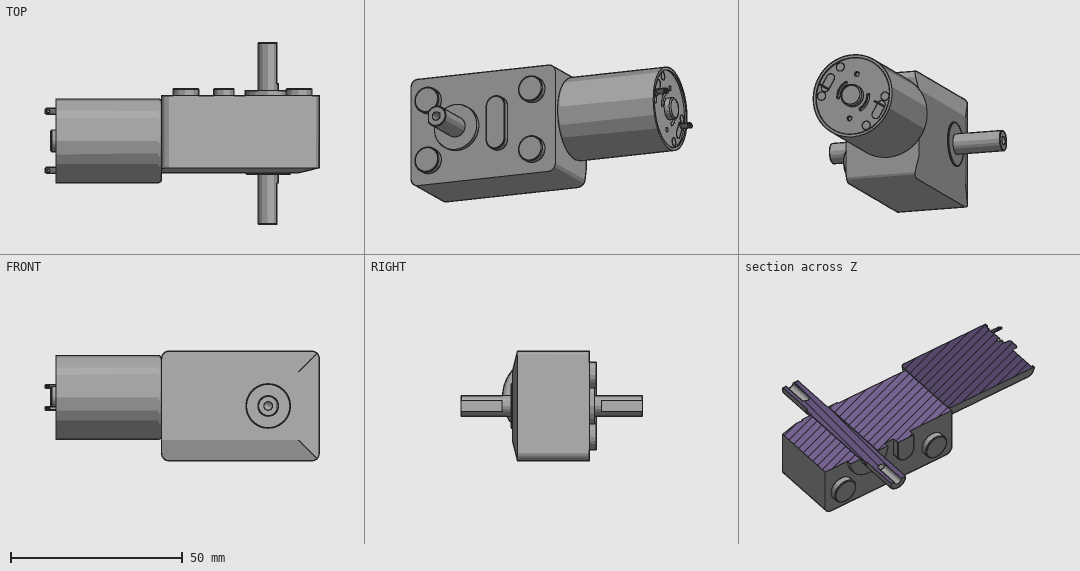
import cadquery as cq
import math


case_length = 46.0
case_height = 32.0
case_corner_radius = 2.2
case_end_x = 14.9
case_start_x = case_end_x - case_length
case_back_y = 11.0
case_front_y = -11.5
bevel_width = 6.0
bevel_depth = 1.5
bevel_start_y = case_front_y + bevel_depth

back_collar_radius = 6.75
back_collar_height = 1.5
front_collar_radius = 6.5
front_collar_height = 0.4
front_collar_chamfer = 0.2
pad_height = 2.1
pad_chamfer = 0.25
round_pad_diameter = 7.6
round_pad_pitch_z = 18.0
round_pad_near_x = 9.0
round_pad_pitch_x = 33.0
long_pad_x = -12.9
long_pad_width = 6.0
long_pad_length = 16.0

shaft_length = 53.0
shaft_diameter = 6.0
shaft_chamfer = 0.2
flat_length = 12.0
flat_distance = 2.5
centre_hole_diameter = 2.5
centre_hole_depth = 8.0
drill_tip_angle = 118.0

motor_y = -2.15
motor_z = 2.5
motor_diameter = 24.5
motor_length = 30.8
motor_end_fillet = 1.0
motor_rear_x = case_start_x - motor_length
end_plate_diameter = 22.8
end_plate_recess = 0.5
end_plate_x = motor_rear_x + end_plate_recess

knob_radius = 3.2
knob_protrusion = 1.5
knob_chamfer = 0.4
crimp_diameter = 2.5
crimp_orbit = 9.85
crimp_angles = (4.4, 66.0)
mark_depth = 0.1
window_orbit = 9.1
window_angle = 30.3
window_length = 5.7
window_width = 2.5
vent_diameter = 1.4
vent_orbit = 6.6
vent_angle = 100.0
opening_depth = 1.0
arc_slot_radius = 4.65
arc_slot_width = 0.95
arc_slot_start = 1.0
arc_slot_end = 60.0

terminal_protrusion = 3.1
terminal_width = 1.95
terminal_thickness = 0.3
terminal_tip_chamfer = 0.4
terminal_hole_diameter = 0.9
terminal_hole_setback = 0.9
terminal_y = 8.6
terminal_z = 3.2
terminal_tilt = 30.0


def y_plane(y):
    """Plane at the given Y whose local axes are X and Z and whose normal is -Y."""
    return cq.Workplane(cq.Plane(origin=(0, y, 0), xDir=(1, 0, 0), normal=(0, -1, 0)))


def motor_plane(x):
    """Plane on the motor axis whose local axes are Y and Z and whose normal is +X."""
    return cq.Workplane(cq.Plane(origin=(x, motor_y, motor_z), xDir=(0, 1, 0), normal=(1, 0, 0)))


def polar(radius, angle):
    """Point at a radius and an angle in degrees."""
    return radius * math.cos(math.radians(angle)), radius * math.sin(math.radians(angle))


def case_block(back_y, front_y):
    """Rounded rectangular block of the case outline between two Y positions."""
    case_centre_x = (case_start_x + case_end_x) / 2
    return (
        y_plane(back_y).center(case_centre_x, 0).rect(case_length, case_height)
        .extrude(back_y - front_y)
        .edges("|Y").fillet(case_corner_radius)
    )


def bevel_envelope():
    """Block with its top, bottom and +X sides sloping in towards the front face."""
    half_height = case_height / 2
    slope_x = cq.Workplane("XY").polyline([
        (case_start_x, case_back_y),
        (case_end_x, case_back_y),
        (case_end_x, bevel_start_y),
        (case_end_x - bevel_width, case_front_y),
        (case_start_x, case_front_y),
    ]).close().extrude(half_height, both=True)
    slope_z = cq.Workplane("YZ").workplane(offset=case_start_x).polyline([
        (case_back_y, -half_height),
        (bevel_start_y, -half_height),
        (case_front_y, bevel_width - half_height),
        (case_front_y, half_height - bevel_width),
        (bevel_start_y, half_height),
        (case_back_y, half_height),
    ]).close().extrude(case_length)
    return slope_x.intersect(slope_z)


def shaft_cylinder():
    """Full-length round cylinder, used as shaft stock and to bore the gearbox."""
    return y_plane(shaft_length / 2).circle(shaft_diameter / 2).extrude(shaft_length)


def make_gearbox():
    """Case with bevelled front, collars and mounting pads, bored for the shaft."""
    case = case_block(case_back_y, case_front_y).intersect(bevel_envelope())
    front_collar = (
        y_plane(case_front_y).circle(front_collar_radius).extrude(front_collar_height)
        .faces("<Y").edges().chamfer(front_collar_chamfer)
    )
    back_collar = y_plane(case_back_y).circle(back_collar_radius).extrude(-back_collar_height)
    round_pad_xs = (round_pad_near_x, round_pad_near_x - round_pad_pitch_x)
    round_pads = (
        y_plane(case_back_y)
        .pushPoints([(x, side * round_pad_pitch_z / 2) for x in round_pad_xs for side in (-1, 1)])
        .circle(round_pad_diameter / 2).extrude(-pad_height)
        .faces(">Y").edges().chamfer(pad_chamfer)
    )
    long_pad = (
        y_plane(case_back_y).center(long_pad_x, 0).slot2D(long_pad_length, long_pad_width, 90)
        .extrude(-pad_height)
        .faces(">Y").edges().chamfer(pad_chamfer)
    )
    gearbox_body = case
    for raised_detail in (front_collar, back_collar, round_pads, long_pad):
        gearbox_body = gearbox_body.union(raised_detail)
    return gearbox_body.cut(shaft_cylinder())


def make_shaft():
    """Double-ended shaft with a flat and a drilled centre hole at each end."""
    half_length = shaft_length / 2
    shaft_body = shaft_cylinder().faces("<Y or >Y").edges().chamfer(shaft_chamfer)
    hole_radius = centre_hole_diameter / 2
    tip_depth = hole_radius / math.tan(math.radians(drill_tip_angle / 2))
    hole_bottom_y = half_length - centre_hole_depth
    back_hole = cq.Workplane("XY").polyline([
        (0, half_length),
        (hole_radius, half_length),
        (hole_radius, hole_bottom_y),
        (0, hole_bottom_y - tip_depth),
    ]).close().revolve(360, (0, 0, 0), (0, 1, 0))
    back_flat = cq.Workplane("XY").box(
        shaft_diameter, flat_length, shaft_diameter, centered=(False, False, True)
    ).translate((flat_distance, half_length - flat_length, 0))
    for end_cut in (back_hole, back_flat):
        shaft_body = shaft_body.cut(end_cut).cut(end_cut.mirror("XZ"))
    return shaft_body


def arc_slot():
    """Curved slot with round ends around the motor axis."""
    inner = arc_slot_radius - arc_slot_width / 2
    outer = arc_slot_radius + arc_slot_width / 2
    middle = (arc_slot_start + arc_slot_end) / 2
    end_radius = arc_slot_width / 2
    return (
        motor_plane(end_plate_x)
        .moveTo(*polar(outer, arc_slot_start))
        .threePointArc(polar(outer, middle), polar(outer, arc_slot_end))
        .radiusArc(polar(inner, arc_slot_end), -end_radius)
        .threePointArc(polar(inner, middle), polar(inner, arc_slot_start))
        .radiusArc(polar(outer, arc_slot_start), -end_radius)
        .close().extrude(opening_depth)
    )


def terminal():
    """Flat solder tag with a cropped tip and a cross hole, standing on the end plate floor."""
    foot_x = end_plate_x + mark_depth
    tip_x = motor_rear_x - terminal_protrusion
    tag = (
        cq.Workplane("XY").box(
            foot_x - tip_x, terminal_width, terminal_thickness, centered=(False, True, True))
        .edges("|Z and <X").chamfer(terminal_tip_chamfer)
    )
    hole = (
        cq.Workplane("XY").center(terminal_hole_setback, 0).circle(terminal_hole_diameter / 2)
        .extrude(terminal_thickness, both=True)
    )
    return (
        tag.cut(hole).rotate((0, 0, 0), (1, 0, 0), terminal_tilt)
        .translate((tip_x, motor_y + terminal_y, motor_z + terminal_z))
    )


def end_plate_cuts():
    """Half of the end plate cuts; the other half is turned 180 degrees about the motor axis."""
    crimps = [
        motor_plane(end_plate_x).center(*polar(crimp_orbit, angle))
        .circle(crimp_diameter / 2).extrude(mark_depth)
        for angle in crimp_angles
    ]
    window = (
        motor_plane(end_plate_x).center(*polar(window_orbit, window_angle))
        .slot2D(window_length, window_width, window_angle + 90).extrude(mark_depth)
    )
    vent = (
        motor_plane(end_plate_x).center(*polar(vent_orbit, vent_angle))
        .circle(vent_diameter / 2).extrude(opening_depth)
    )
    return [*crimps, window, vent, arc_slot()]


def half_turn(body):
    """Copy of a body turned 180 degrees about the motor axis."""
    return body.rotate((0, motor_y, motor_z), (1, motor_y, motor_z), 180)


def make_motor():
    """Motor can with a recessed end plate, rear bearing knob and two terminals."""
    can = (
        motor_plane(motor_rear_x).circle(motor_diameter / 2).extrude(motor_length)
        .faces(">X").edges().fillet(motor_end_fillet)
    )
    recess = motor_plane(motor_rear_x).circle(end_plate_diameter / 2).extrude(end_plate_recess)
    motor_body = can.cut(recess)
    for plate_cut in end_plate_cuts():
        motor_body = motor_body.cut(plate_cut).cut(half_turn(plate_cut))
    knob = (
        motor_plane(motor_rear_x - knob_protrusion).circle(knob_radius)
        .extrude(knob_protrusion + end_plate_recess)
        .faces("<X").edges().chamfer(knob_chamfer)
    )
    return motor_body.union(knob).union(terminal()).union(half_turn(terminal()))


gearbox = make_gearbox()
shaft = make_shaft()
motor = make_motor()

result = cq.Compound.makeCompound([gearbox.val(), shaft.val(), motor.val()])